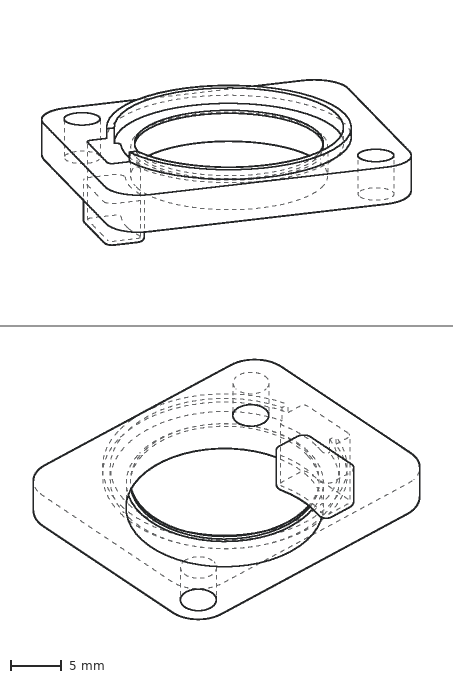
import cadquery as cq
import math

plate_width = 26.0
plate_length = 31.5
plate_thickness = 4.0
corner_radius = 3.5
bottom_round = 0.4

center_y = 0.25
ring_height = 1.0
ring_radius = 12.0
seat_radius = 11.25
seat_depth = 0.6
lip_radius = 9.25
lip_thickness = 0.3
bore_radius = 9.67
screw_radius = 1.75
screw_x = 9.5
screw_y = 12.0

pocket_width = 7.0
pocket_inner_radius = 10.6
pocket_front = 13.6
pocket_corner_radius = 0.5
wall = 0.4
boss_height = 4.5


def disk(radius, bottom, height):
    """Vertical cylinder on the bore axis."""
    return cq.Workplane("XY", origin=(0, center_y, bottom)).circle(radius).extrude(height)


def pocket_prism(offset, bottom, top):
    """Block with a concave inner side following the bore, grown by an offset all round."""
    half_width = pocket_width / 2 + offset
    inner_radius = pocket_inner_radius - offset
    front_y = -(pocket_front + offset)
    side_y = -math.sqrt(inner_radius**2 - half_width**2)
    return (
        cq.Workplane("XY", origin=(0, center_y, bottom))
        .moveTo(-half_width, front_y)
        .lineTo(half_width, front_y)
        .lineTo(half_width, side_y)
        .threePointArc((0, -inner_radius), (-half_width, side_y))
        .close()
        .extrude(top - bottom)
        .edges("|Z")
        .fillet(pocket_corner_radius + offset)
    )


plate = (
    cq.Workplane("XY", origin=(0, 0, -plate_thickness))
    .rect(plate_width, plate_length)
    .extrude(plate_thickness)
    .edges("|Z")
    .fillet(corner_radius)
    .faces("<Z")
    .edges()
    .fillet(bottom_round)
)

boss_bottom = -plate_thickness - boss_height
boss = pocket_prism(wall, boss_bottom, -plate_thickness / 2).faces("<Z").edges().fillet(bottom_round)

body = plate.union(boss).union(disk(ring_radius, -seat_depth, seat_depth + ring_height))

lip_bottom = -seat_depth - lip_thickness
body = body.cut(disk(seat_radius, -seat_depth, seat_depth + ring_height))
body = body.cut(disk(lip_radius, lip_bottom, lip_thickness))
body = body.cut(disk(bore_radius, -plate_thickness, plate_thickness + lip_bottom))

body = body.cut(pocket_prism(0, boss_bottom + wall, ring_height))

screw_holes = (
    cq.Workplane("XY", origin=(0, center_y, -plate_thickness))
    .pushPoints([(screw_x, screw_y), (-screw_x, -screw_y)])
    .circle(screw_radius)
    .extrude(plate_thickness)
)
result = body.cut(screw_holes)